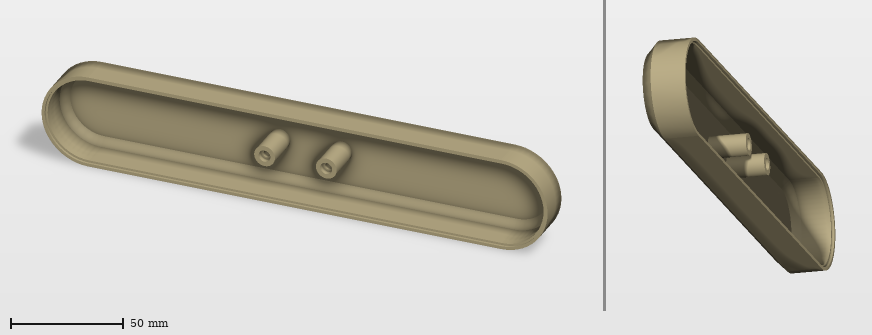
import cadquery as cq

length = 245.0
depth = 21.0
height = 45.0
back_chamfer = 5.1

wall = 2.5
floor_thickness = 2.5
inner_chamfer = 3.7

rim_width = 1.5
rim_step_depth = 1.2

boss_spacing = 30.0
boss_setback = 1.0
boss_diameter = 10.0
boss_hole_diameter = 3.2
boss_mouth_diameter = 5.6
boss_mouth_depth = 2.5

front_y = -depth / 2
back_y = depth / 2
floor_y = back_y - floor_thickness
step_y = front_y + rim_step_depth
boss_front_y = front_y + boss_setback


def stadium(inset, start_y, end_y):
    """Round-ended bar along X, shrunk evenly by inset, between two Y positions."""
    return (
        cq.Workplane("XZ", origin=(0, start_y, 0))
        .slot2D(length - 2 * inset, height - 2 * inset)
        .extrude(start_y - end_y)
    )


def boss_cylinders(diameter, start_y, end_y):
    """Pair of cylinders on the boss axes, between two Y positions."""
    return (
        cq.Workplane("XZ", origin=(0, start_y, 0))
        .pushPoints([(-boss_spacing / 2, 0), (boss_spacing / 2, 0)])
        .circle(diameter / 2)
        .extrude(start_y - end_y)
    )


body = stadium(0, front_y, back_y).faces(">Y").edges().chamfer(back_chamfer)

cavity = stadium(wall, front_y, floor_y).faces(">Y").edges().chamfer(inner_chamfer)
rim_step = stadium(rim_width, front_y, step_y)
tray = body.cut(cavity).cut(rim_step)

bosses = boss_cylinders(boss_diameter, boss_front_y, floor_y)
holes = boss_cylinders(boss_hole_diameter, boss_front_y, floor_y)
mouths = boss_cylinders(boss_mouth_diameter, boss_front_y, boss_front_y + boss_mouth_depth)

result = tray.union(bosses.cut(holes).cut(mouths))